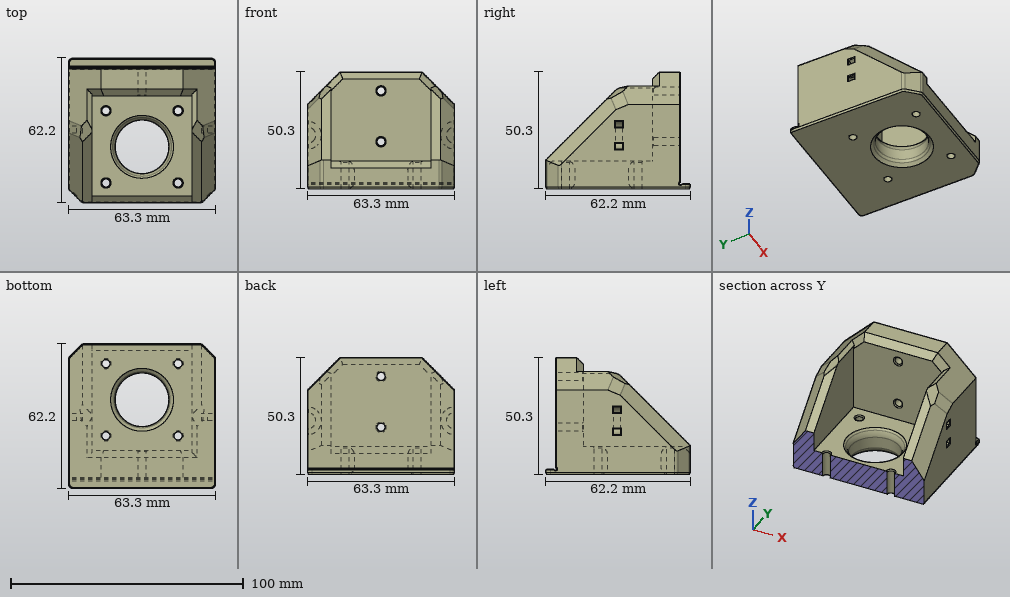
import cadquery as cq
import math

width = 63.3
height = 50.3
wall_back = 57.9
total_depth = 62.2
half_width = width / 2

roof_bevel = 14.0
front_height = 12.5
roof_half_width = half_width - roof_bevel
side_height = height - roof_bevel
corner_bevel = 6.0
corner_round = 2.0
back_edge_bevel = 0.3

pocket_half_width = 21.5
plate_thickness = 12.0
pocket_back = wall_back - plate_thickness
rim_bevel = 3.0

lip_height = 2.4
lip_bevel = 0.5
foot_bevel_height = 1.0
foot_bevel_inset = 0.5
relief_radius = 0.5

motor_y = 24.1
motor_bore_diameter = 23.0
bore_bevel = 2.0
bore_round_top = 4.0
bore_round_bottom = 2.0
screw_diameter = 3.4
screw_bevel = 0.5
motor_screw_offset = 15.5
wall_screw_heights = (20.4, 42.2)

tie_y = 31.5
tie_z = 23.15
tie_outer_radius = 6.0
tie_inner_radius = 3.55
tie_width = 3.0
tie_mouth_bevel = 0.4


def edges_near(body, points):
    """Edges of the body whose centres lie nearest to the given points."""
    edges = []
    for point in points:
        edges += body.edges(cq.selectors.NearestToPointSelector(point)).vals()
    return body.newObject(edges)


def on_both_sides(points):
    """The given points together with their mirror images in X."""
    return [(sign * x, y, z) for x, y, z in points for sign in (-1, 1)]


def roof_bevel_z(x):
    """Height of the roof bevel at a distance x from the middle."""
    return height - (x - roof_half_width)


def footprint(depth, thickness):
    """Plan outline with bevelled and rounded front corners."""
    plan = (
        cq.Workplane("XY")
        .rect(width, depth)
        .extrude(thickness)
        .translate((0, depth / 2, 0))
    )
    plan = plan.edges("|Z and <Y").chamfer(corner_bevel)
    front_corners = cq.selectors.BoxSelector(
        (-width, -0.65, -0.65), (width, 2 * corner_bevel, thickness + 0.65)
    )
    return plan.edges("|Z").edges(front_corners).fillet(corner_round)


def front_slope_y(z):
    """Y of the front slope at a height z."""
    return z - front_height


def midpoint(a, b):
    """Point halfway between two points."""
    return tuple((p + q) / 2 for p, q in zip(a, b))


def block():
    """Solid block with the roof bevels, the front slope and its bevelled outer edges."""
    front_prism = (
        cq.Workplane("XZ")
        .rect(width, height)
        .extrude(-wall_back)
        .translate((0, 0, height / 2))
        .edges("|Y and >Z")
        .chamfer(roof_bevel)
    )
    side_prism = (
        cq.Workplane("YZ")
        .polyline([
            (0, 0),
            (wall_back, 0),
            (wall_back, height),
            (front_slope_y(height), height),
            (0, front_height),
        ])
        .close()
        .extrude(half_width, both=True)
    )
    body = front_prism.intersect(side_prism)
    body = body.faces(">Y").edges("not <Z").chamfer(back_edge_bevel)
    slope_edge = midpoint(
        (half_width, 0, front_height),
        (half_width, front_slope_y(side_height), side_height),
    )
    return edges_near(body, on_both_sides([slope_edge])).chamfer(corner_bevel)


def bevel_shoulders(body):
    """Bevel the edges where the roof bevels run into the front slope and its bevelled outer edges."""
    corner_x = half_width - corner_bevel
    corner_z = roof_bevel_z(corner_x)
    corner = (corner_x, front_slope_y(corner_z), corner_z)
    roof_end = (roof_half_width, front_slope_y(height), height)
    side_end = (half_width, front_slope_y(side_height) + corner_bevel * math.sqrt(2), side_height)
    shoulder_edges = on_both_sides([midpoint(corner, roof_end), midpoint(corner, side_end)])
    return edges_near(body, shoulder_edges).chamfer(rim_bevel)


def cut_pocket(body):
    """Open pocket above the floor, with bevels along its rim."""
    pocket = (
        cq.Workplane("XY")
        .box(2 * pocket_half_width, pocket_back, height, centered=(True, False, False))
        .translate((0, 0, plate_thickness))
    )
    body = body.cut(pocket)
    wall_corner = (pocket_half_width, pocket_back, roof_bevel_z(pocket_half_width))
    slope_end_y = front_slope_y(roof_bevel_z(pocket_half_width))
    slope_end = (pocket_half_width, slope_end_y, roof_bevel_z(pocket_half_width))
    rim = [
        (0, 0, plate_thickness),
        (0, pocket_back, height),
    ] + on_both_sides([
        midpoint(wall_corner, (roof_half_width, pocket_back, height)),
        midpoint(wall_corner, slope_end),
    ])
    return edges_near(body, rim).chamfer(rim_bevel)


def base_slab():
    """Bevelled slab under the block; its rear end is the lip behind the wall."""
    slab = footprint(total_depth, lip_height)
    slab = slab.edges("|Z and >Y").fillet(corner_round)
    slab = slab.faces("<Z").chamfer(foot_bevel_inset, foot_bevel_height)
    return slab.faces(">Z").chamfer(lip_bevel)


def relief_groove():
    """Groove along the inner corner between lip and wall, with bevelled edges."""
    corner = cq.Workplane("YZ").center(wall_back, lip_height)
    groove = corner.circle(relief_radius).extrude(half_width, both=True)
    lip_edge = (
        corner.polyline([
            (0, 0),
            (relief_radius + lip_bevel, 0),
            (relief_radius, -lip_bevel),
            (0, -lip_bevel),
        ])
        .close()
        .extrude(half_width, both=True)
    )
    flare = (
        corner.workplane(offset=half_width - back_edge_bevel)
        .circle(relief_radius)
        .workplane(offset=back_edge_bevel)
        .circle(relief_radius + back_edge_bevel)
        .loft()
    )
    return groove.union(lip_edge).union(flare).union(flare.mirror("YZ"))


def turned(outline):
    """Turn an outline of (radius, z) points around the Z axis."""
    return cq.Workplane("XZ").polyline(outline).close().revolve(360, (0, 0, 0), (0, 1, 0))


def motor_bore():
    """Through bore whose bevelled ends run into it with a round."""
    radius = motor_bore_diameter / 2
    top = plate_thickness
    bore = turned([
        (0, 0),
        (radius + bore_bevel, 0),
        (radius, bore_bevel),
        (radius, top - bore_bevel),
        (radius + bore_bevel, top),
        (0, top),
    ])
    bore = edges_near(bore, [(0, 0, bore_bevel)]).fillet(bore_round_bottom)
    bore = edges_near(bore, [(0, 0, top - bore_bevel)]).fillet(bore_round_top)
    return bore.translate((0, motor_y, 0))


def screw_hole():
    """Vertical screw hole through a plate, bevelled at the upper end."""
    radius = screw_diameter / 2
    return turned([
        (0, 0),
        (radius, 0),
        (radius, plate_thickness - screw_bevel),
        (radius + screw_bevel, plate_thickness),
        (0, plate_thickness),
    ])


def tie_tunnel():
    """Half-ring tunnel in the left side, with bevelled mouths, for a cable tie."""
    thickness = tie_outer_radius - tie_inner_radius
    ring = (
        cq.Workplane("XZ")
        .circle(tie_outer_radius)
        .circle(tie_inner_radius)
        .extrude(tie_width / 2, both=True)
    )
    mouth = (
        cq.Workplane("YZ")
        .rect(tie_width + 2 * tie_mouth_bevel, thickness + 2 * tie_mouth_bevel)
        .extrude(tie_mouth_bevel, taper=45)
    )
    mouth_offset = (tie_outer_radius + tie_inner_radius) / 2
    for sign in (-1, 1):
        ring = ring.union(mouth.translate((0, 0, sign * mouth_offset)))
    return ring.translate((-half_width, tie_y, tie_z))


body = cut_pocket(bevel_shoulders(block()))
upper_plan = footprint(wall_back, height - foot_bevel_height).translate((0, 0, foot_bevel_height))
body = body.intersect(upper_plan).union(base_slab())
body = body.cut(relief_groove()).cut(motor_bore())

for x_sign in (-1, 1):
    for y_sign in (-1, 1):
        hole_place = (x_sign * motor_screw_offset, motor_y + y_sign * motor_screw_offset, 0)
        body = body.cut(screw_hole().translate(hole_place))

wall_hole = screw_hole().rotate((0, 0, 0), (1, 0, 0), 90).translate((0, wall_back, 0))
for z in wall_screw_heights:
    body = body.cut(wall_hole.translate((0, 0, z)))

left_tunnel = tie_tunnel()
result = body.cut(left_tunnel).cut(left_tunnel.mirror("YZ")).solids()